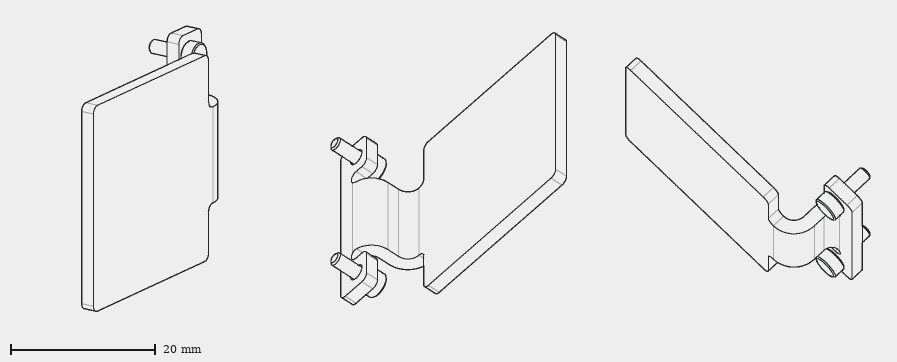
import cadquery as cq

height = 30.0
length = 37.0
thickness = 2.0
plate_width = 28.0
strip_width = 5.5
corner_radius = 1.0

plate_bend_inner = 2.0
strip_bend_inner = 1.5
neck_flat = 1.9
plate_bend_outer = plate_bend_inner + thickness
strip_bend_outer = strip_bend_inner + thickness
plate_bend_y = plate_width + corner_radius
neck_low_y = plate_bend_y + plate_bend_inner
neck_high_y = neck_low_y + thickness
strip_bend_y = neck_low_y + strip_bend_outer
neck_flat_end_x = strip_bend_outer + neck_flat
plate_x = neck_flat_end_x + plate_bend_inner
plate_outer_x = plate_x + thickness

slot_width = 2 * corner_radius
slot_inset = 6.0
slot_end_y = length - 2.3
slot_center_inset = slot_inset + slot_width / 2
slot_centers_z = (slot_center_inset, height - slot_center_inset)

hole_diameter = 2.4
shank_diameter = 2.0
shank_reach = 4.0
tip_chamfer = 0.25
root_chamfer = (hole_diameter - shank_diameter) / 2
head_diameter = 3.8
head_height = 2.0
head_chamfer = 0.2
screw_y = length - 3.33
screw_inset = 3.0
screw_centers_z = (screw_inset, height - screw_inset)


def block(x, y_start, y_end, z_start, z_end):
    """Sheet-thick block with its -X face at x."""
    size_y = y_end - y_start
    size_z = z_end - z_start
    return cq.Workplane("XY").box(thickness, size_y, size_z, centered=False).translate((x, y_start, z_start))


def make_plate():
    plate = block(plate_x, 0, plate_width, 0, height)
    return plate.edges("|X").fillet(corner_radius)


def make_strip():
    """Strip with a tab at each Z end, cut back between the tabs to the bend line."""
    strip = block(0, length - strip_width, length, 0, height)
    strip = strip.edges("|X").fillet(corner_radius)
    gap = block(0, length - strip_width, strip_bend_y, slot_centers_z[0], slot_centers_z[1])
    return strip.cut(gap)


def make_neck():
    """S-bent sheet, reaching to the middle of each relief slot."""
    return (
        cq.Workplane("XY")
        .workplane(offset=slot_centers_z[0])
        .moveTo(0, strip_bend_y)
        .radiusArc((strip_bend_outer, neck_low_y), -strip_bend_outer)
        .lineTo(neck_flat_end_x, neck_low_y)
        .radiusArc((plate_x, plate_bend_y), plate_bend_inner)
        .lineTo(plate_x, plate_width)
        .lineTo(plate_outer_x, plate_width)
        .lineTo(plate_outer_x, plate_bend_y)
        .radiusArc((neck_flat_end_x, neck_high_y), -plate_bend_outer)
        .lineTo(strip_bend_outer, neck_high_y)
        .radiusArc((thickness, strip_bend_y), strip_bend_inner)
        .close()
        .extrude(slot_centers_z[1] - slot_centers_z[0])
    )


def make_relief_slots():
    slot_length = slot_end_y - plate_width
    slot_mid_y = (slot_end_y + plate_width) / 2
    return (
        cq.Workplane("YZ")
        .pushPoints([(slot_mid_y, z) for z in slot_centers_z])
        .slot2D(slot_length, slot_width)
        .extrude(plate_outer_x)
    )


def round_tab_corners(bracket):
    """Round the tab corners where the tabs face the relief slots."""
    tab_y = length - strip_width
    for z in (slot_inset, height - slot_inset):
        corner = cq.selectors.NearestToPointSelector((thickness / 2, tab_y, z))
        bracket = bracket.edges("|X").edges(corner).fillet(corner_radius)
    return bracket


def make_bracket():
    bracket = make_plate().union(make_strip()).union(make_neck()).cut(make_relief_slots())
    bracket = round_tab_corners(bracket)
    holes = (
        cq.Workplane("YZ")
        .pushPoints([(screw_y, z) for z in screw_centers_z])
        .circle(hole_diameter / 2)
        .extrude(thickness)
    )
    return bracket.cut(holes)


def make_screw(z):
    """Screw with its head seated on the +X face of the strip."""
    head = cq.Workplane("YZ").circle(head_diameter / 2).extrude(head_height)
    head = head.edges().chamfer(head_chamfer)
    shank = cq.Workplane("YZ").circle(shank_diameter / 2).extrude(-(thickness + shank_reach))
    shank = shank.faces("<X").edges().chamfer(tip_chamfer)
    screw = head.union(shank)
    seat = screw.faces("|X").faces(cq.selectors.NearestToPointSelector((0, 0, 0)))
    screw = seat.edges(cq.selectors.RadiusNthSelector(0)).chamfer(root_chamfer)
    return screw.translate((thickness, screw_y, z))


bracket = make_bracket()
screws = [make_screw(z) for z in screw_centers_z]

result = cq.Compound.makeCompound([bracket.solids().val(), *[screw.solids().val() for screw in screws]])